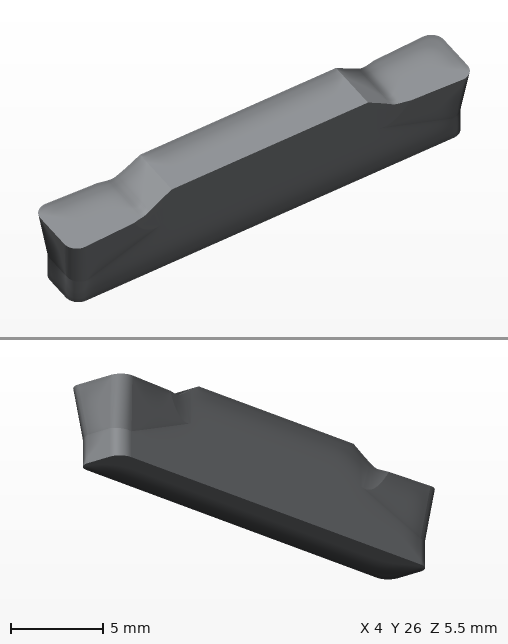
import cadquery as cq
import math

length = 26.0
height = 5.5
body_width = 3.22
seat_height = 4.52
corner_radius = 0.8

relief_angle = 7.0
back_taper_angle = 2.5
head_half_width = 2.0
end_relief_height = 1.65
head_length = 6.05
notch_radius = 8.05

ramp_angle = 30.0
ramp_top_from_end = 6.68
ramp_blend_radius = 0.9

relief = math.tan(math.radians(relief_angle))
back_taper = math.tan(math.radians(back_taper_angle))
half_length = length / 2
body_half_length = half_length - (seat_height - end_relief_height) * relief
head_inner_y = half_length - head_length


def side_profile():
    """Long block with seats, blended ramps and a raised middle, wider than the part."""
    ramp_top = half_length - ramp_top_from_end
    ramp_run = (height - seat_height) / math.tan(math.radians(ramp_angle))
    ramp_foot = ramp_top + ramp_run
    block = (
        cq.Workplane("YZ")
        .polyline([
            (-half_length, 0),
            (half_length, 0),
            (half_length, seat_height),
            (ramp_foot, seat_height),
            (ramp_top, height),
            (-ramp_top, height),
            (-ramp_foot, seat_height),
            (-half_length, seat_height),
        ])
        .close()
        .extrude(head_half_width * 2, both=True)
    )
    for foot in (-ramp_foot, ramp_foot):
        foot_edge = cq.selectors.NearestToPointSelector((0, foot, seat_height))
        block = block.edges(foot_edge).fillet(ramp_blend_radius)
    return block


def head_section(z):
    """Outline of the head at height z, with two rounded corners at the cutting end."""
    growth = (z - seat_height) * relief
    end_y = half_length + growth
    corner_half_width = head_half_width + growth
    taper_start_y = half_length - corner_radius

    def half_width_at(y):
        return corner_half_width - (taper_start_y - y) * back_taper

    inner = half_width_at(head_inner_y)
    outer = half_width_at(end_y)
    outline = cq.Wire.makePolygon(
        [
            cq.Vector(-inner, head_inner_y, z),
            cq.Vector(inner, head_inner_y, z),
            cq.Vector(outer, end_y, z),
            cq.Vector(-outer, end_y, z),
        ],
        close=True,
    )
    end_corners = [v for v in outline.Vertices() if v.Y > head_inner_y + corner_radius]
    return outline.fillet2D(corner_radius, end_corners)


def cutting_head():
    """Head at the +Y end, with its flanks running down into the body."""
    head = cq.Workplane(cq.Solid.makeLoft([head_section(0), head_section(height)], True))
    notch_x = body_width / 2 + notch_radius
    notches = (
        cq.Workplane("XY")
        .pushPoints([(-notch_x, head_inner_y), (notch_x, head_inner_y)])
        .circle(notch_radius)
        .extrude(height)
    )
    return head.cut(notches)


body = (
    cq.Workplane("XY")
    .rect(body_width, 2 * body_half_length)
    .extrude(height)
    .edges("|Z")
    .fillet(corner_radius)
)
head = cutting_head()
opposite_head = head.mirror("XZ")
result = body.union(head).union(opposite_head).intersect(side_profile())